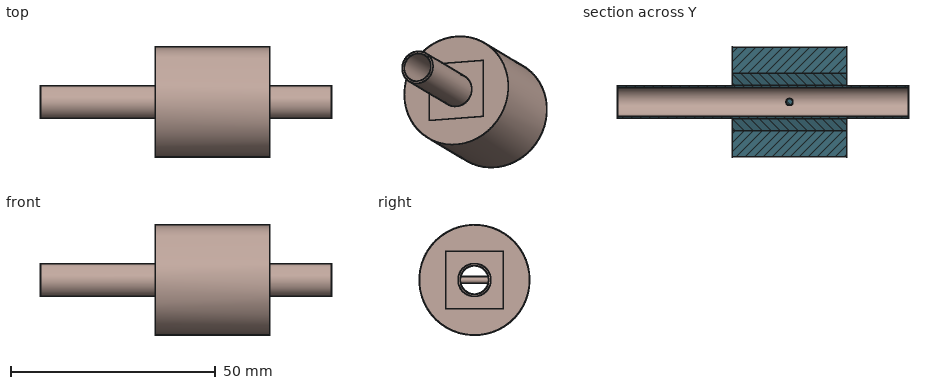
import cadquery as cq

tube_length = 71.0
tube_diameter = 8.0
bore_diameter = 6.9
housing_diameter = 27.0
housing_length = 28.0
housing_start = 28.0
core_width = 14.0
pin_diameter = 1.7

tube_left = -tube_length / 2
housing_left = tube_left + housing_start
pin_x = housing_left + housing_length / 2


def plane_at(x):
    """Workplane across the part axis, extruding toward +X."""
    return cq.Workplane("YZ", origin=(x, 0, 0))


def make_housing():
    """Round housing with a square passage for the core."""
    return (
        plane_at(housing_left)
        .circle(housing_diameter / 2)
        .rect(core_width, core_width)
        .extrude(housing_length)
    )


def make_core():
    """Square core, flush with the housing and bored for the tube."""
    return (
        plane_at(housing_left)
        .rect(core_width, core_width)
        .circle(tube_diameter / 2)
        .extrude(housing_length)
    )


def make_pin():
    """Cross pin along Y, its ends rounded flush with the outside of the tube."""
    rod = (
        cq.Workplane("XZ", origin=(pin_x, 0, 0))
        .circle(pin_diameter / 2)
        .extrude(tube_diameter / 2, both=True)
    )
    tube_envelope = plane_at(tube_left).circle(tube_diameter / 2).extrude(tube_length)
    return rod.intersect(tube_envelope)


def make_tube(cross_pin):
    """Through tube with holes in its wall that match the cross pin."""
    wall = (
        plane_at(tube_left)
        .circle(tube_diameter / 2)
        .circle(bore_diameter / 2)
        .extrude(tube_length)
    )
    return wall.cut(cross_pin)


housing = make_housing()
core = make_core()
pin = make_pin()
tube = make_tube(pin)

result = cq.Compound.makeCompound(
    [housing.val(), core.val(), tube.solids().val(), pin.solids().val()]
)